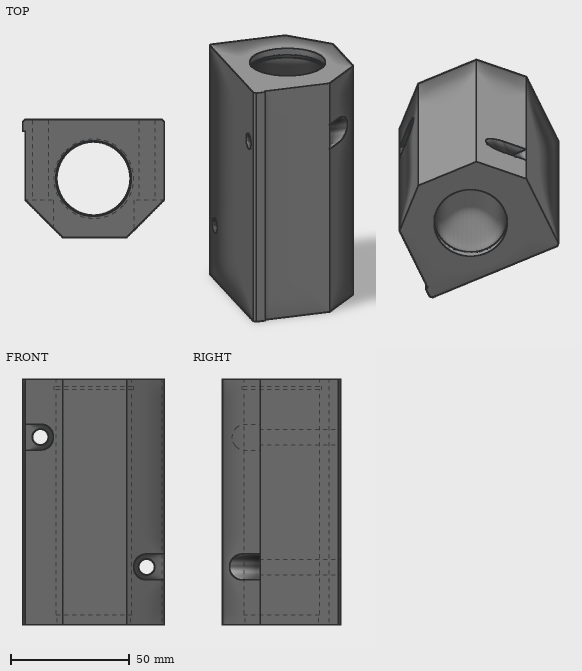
import cadquery as cq

width = 60.0
depth = 50.0
height = 104.0

lip_overhang = 1.0
lip_depth = 5.0
front_bevel = 16.0
back_bevel = 1.0

bore_diameter = 32.0
groove_diameter = 33.7
groove_inset = 3.0
groove_width = 1.3
stop_diameter = 31.0
stop_thickness = groove_inset + groove_width

hole_diameter = 6.7
recess_width = 11.0
recess_depth = front_bevel
hole_spacing_x = 45.0
hole_spacing_z = 55.0

left = -width / 2
right = width / 2
front = -depth / 2
back = depth / 2
bottom = -height / 2
top = bottom + height
wall_left = left + lip_overhang


def make_body():
    """Bevelled block with a lip along the back of its left side."""
    outline = [
        (wall_left + front_bevel, front),
        (right - front_bevel, front),
        (right, front + front_bevel),
        (right, back - back_bevel),
        (right - back_bevel, back),
        (left + back_bevel, back),
        (left, back - back_bevel),
        (left, back - lip_depth),
        (wall_left, back - lip_depth),
        (wall_left, front + front_bevel),
    ]
    return cq.Workplane("XY").workplane(offset=bottom).polyline(outline).close().extrude(height)


def make_cylinder(diameter, start_z, end_z):
    """Upright cylinder on the bore axis between two heights."""
    return cq.Workplane("XY").workplane(offset=start_z).circle(diameter / 2).extrude(end_z - start_z)


def make_bore():
    """Through bore with its ring groove and the narrower opening inside the stop lip."""
    stop_top = bottom + stop_thickness
    groove_top = top - groove_inset
    bearing_seat = make_cylinder(bore_diameter, stop_top, top)
    stop_opening = make_cylinder(stop_diameter, bottom, stop_top)
    groove = make_cylinder(groove_diameter, groove_top - groove_width, groove_top)
    return bearing_seat.union(stop_opening).union(groove)


def make_screw_cut(side):
    """Screw hole and recess; side is -1 for the left bevel and +1 for the right one."""
    hole_x = side * hole_spacing_x / 2
    hole_z = -side * hole_spacing_z / 2
    open_length = right - hole_spacing_x / 2
    face = cq.Workplane("XZ", origin=(hole_x, front, hole_z))
    hole = face.circle(hole_diameter / 2).extrude(-depth)
    round_end = face.circle(recess_width / 2).extrude(-recess_depth)
    open_end = face.center(side * open_length / 2, 0).rect(open_length, recess_width).extrude(-recess_depth)
    return hole.union(round_end).union(open_end)


result = make_body().cut(make_bore())
for bevel_side in (-1, 1):
    result = result.cut(make_screw_cut(bevel_side))